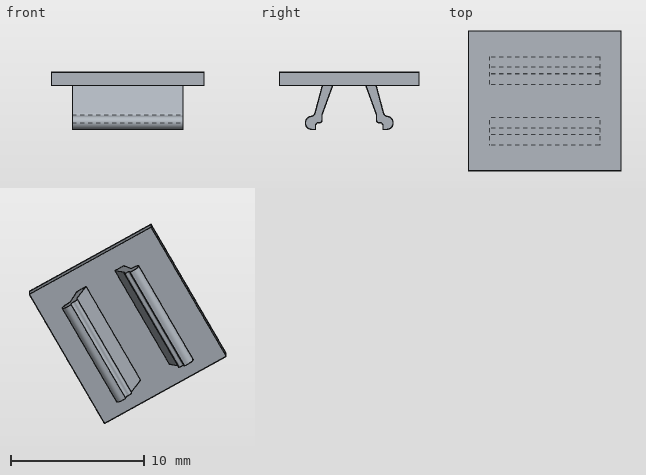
import cadquery as cq
import math

plate_length = 11.45
plate_width = 10.5
plate_thickness = 1.0

leg_length = 8.3
leg_height = 3.3
root_inner = 1.24
root_outer = 2.025

bead_radius = 0.5
bead_center_y = 2.8
bead_center_z = -leg_height + bead_radius

blend_radius = 0.3
blend_center_y = 2.87
blend_center_z = bead_center_z + math.sqrt(
    (bead_radius + blend_radius) ** 2 - (blend_center_y - bead_center_y) ** 2
)

heel_y = 2.04
heel_top_z = -2.2
step_z = -2.8
toe_y = 2.525
step_radius = 0.2


def blend_point(angle):
    """Point on the blend arc, with the angle in radians from the +Y direction."""
    return (
        blend_center_y + blend_radius * math.cos(angle),
        blend_center_z + blend_radius * math.sin(angle),
    )


def blend_start_angle():
    """Angle at which a line from the outer root touches the blend arc."""
    offset_y = root_outer - blend_center_y
    offset_z = -blend_center_z
    distance = math.hypot(offset_y, offset_z)
    return math.atan2(offset_z, offset_y) + math.acos(blend_radius / distance)


def blend_end_angle():
    """Angle at which the blend arc touches the bead."""
    angle_to_bead = math.atan2(
        bead_center_z - blend_center_z, bead_center_y - blend_center_y
    )
    return angle_to_bead + 2 * math.pi


def make_plate():
    return cq.Workplane("XY").box(
        plate_length, plate_width, plate_thickness, centered=(True, True, False)
    )


def make_leg():
    """Leg on the +Y side: a tapered arm ending in a stepped, beaded foot."""
    start_angle = blend_start_angle()
    end_angle = blend_end_angle()
    middle_angle = (start_angle + end_angle) / 2
    diagonal = step_radius * math.cos(math.radians(45))
    return (
        cq.Workplane("YZ", origin=(-leg_length / 2, 0, 0))
        .moveTo(root_inner, 0)
        .lineTo(root_outer, 0)
        .lineTo(*blend_point(start_angle))
        .threePointArc(blend_point(middle_angle), blend_point(end_angle))
        .threePointArc(
            (bead_center_y + bead_radius, bead_center_z), (bead_center_y, -leg_height)
        )
        .lineTo(toe_y, -leg_height)
        .lineTo(toe_y, step_z - step_radius)
        .threePointArc(
            (toe_y - step_radius + diagonal, step_z - step_radius + diagonal),
            (toe_y - step_radius, step_z),
        )
        .lineTo(heel_y + step_radius, step_z)
        .threePointArc(
            (heel_y + step_radius - diagonal, step_z + step_radius - diagonal),
            (heel_y, step_z + step_radius),
        )
        .lineTo(heel_y, heel_top_z)
        .close()
        .extrude(leg_length)
    )


leg = make_leg()
result = make_plate().union(leg).union(leg.mirror("XZ"))